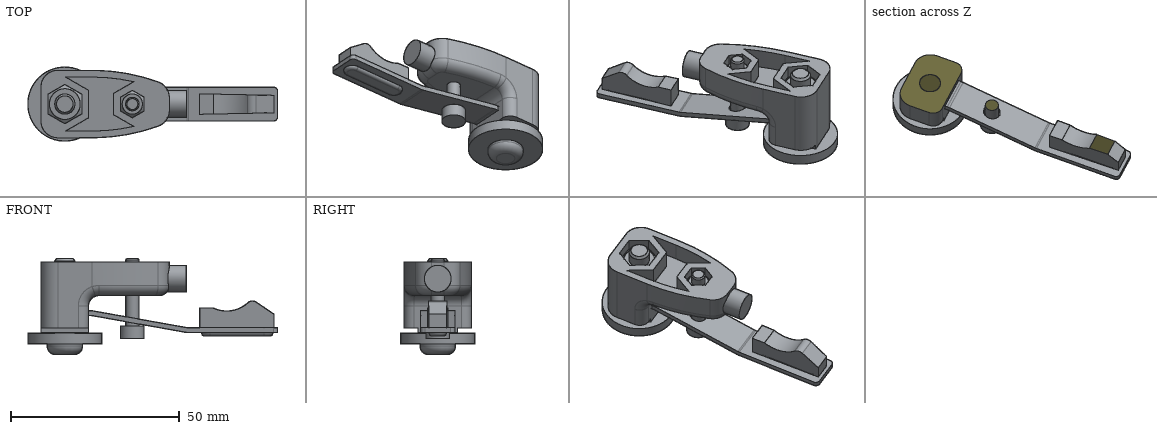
import cadquery as cq
import math


overall_length = 74.0

housing_half_width = 10.0
housing_back_x = -7.1
corner_radius = 5.0
taper_start_x = 8.1
taper_end_x = 27.6
taper_end_half_width = 6.6
nose_x = 30.9
nose_flat_half_width = 1.85
housing_bottom_z = 0.15
housing_top_z = 21.1
arm_bottom_z = 11.1
leg_front_x = 7.0
edge_fillet = 3.0
foot_half_width = 5.85
foot_height = 1.3

wall = 2.0
pocket_depth = 5.9

bolt_nut_sink = 2.95
screw_nut_sink = 2.3

hex_half_angle = math.radians(30)

washer_diameter = 22.0
washer_thickness = 3.2

bolt_diameter = 6.0
bolt_tip_diameter = 4.9
bolt_chamfer_height = 0.75
bolt_head_diameter = 10.5
bolt_head_height = 3.2
bolt_head_round = 2.5
bolt_nut_flats = 10.05
bolt_nut_height = 5.0
bolt_nut_crown_diameter = 9.1
bolt_nut_bevel_angle = 30

screw_x = 20.0
screw_diameter = 4.0
screw_tip_diameter = 3.25
screw_chamfer_height = 0.45
screw_head_diameter = 7.0
screw_head_top_z = 2.15
screw_head_height = 3.8
screw_nut_flats = 7.0
screw_nut_height = 3.2
screw_nut_crown_diameter = 6.0
screw_nut_bevel_angle = 45

stud_top_z = 22.1

cylinder_diameter = 7.9
cylinder_z = 16.1
cylinder_back_x = 25.9
cylinder_front_x = 35.95

spring_width = 10.05
spring_thickness = 1.5
spring_root_x = 4.0
spring_upper_bend_x = 8.15
spring_lower_bend_x = 36.3
spring_end_x = overall_length - washer_diameter / 2
spring_root_z = 6.65
spring_end_z = housing_bottom_z + spring_thickness
spring_corner_radius = 1.25
spring_bend_radius = 2.5
spring_hole_diameter = 4.9

pad_back_x = 39.9
pad_front_x = 61.9
pad_back_width = 6.1
pad_front_width = 5.2
pad_back_z = 7.5
pad_saddle_start_x = 43.95
pad_saddle_low = (47.95, 6.6)
pad_saddle_end = (54.0, 8.9)
pad_crest = (55.35, 9.55)
pad_crest_end = (56.6, 9.25)
pad_front_z = 5.6
plug_back_x = 40.5
plug_front_x = 61.55
plug_width = 5.1
plug_bottom_z = -0.9
plug_round = 0.95


def cylinder_z_axis(x, diameter, bottom_z, top_z):
    """Upright cylinder at (x, 0) between two heights."""
    return cq.Workplane("XY", origin=(x, 0, bottom_z)).circle(diameter / 2).extrude(top_z - bottom_z)


def hexagon(x, flats, bottom_z, top_z):
    """Upright hexagonal prism at (x, 0) with two flats facing -X and +X."""
    corner_diameter = flats / math.cos(hex_half_angle)
    return (
        cq.Workplane("XY", origin=(x, 0, bottom_z))
        .transformed(rotate=(0, 0, math.degrees(hex_half_angle)))
        .polygon(6, corner_diameter)
        .extrude(top_z - bottom_z)
    )


def outline_at(z):
    """Closed plan outline of the housing on a plane at height z: one half, mirrored about X."""
    run = taper_end_x - taper_start_x
    drop = housing_half_width - taper_end_half_width
    taper_radius = (run**2 + drop**2) / (2 * drop)
    mid_x = taper_start_x + run / 2
    mid_y = housing_half_width - taper_radius + math.sqrt(taper_radius**2 - (run / 2) ** 2)
    return (
        cq.Workplane("XY", origin=(0, 0, z))
        .moveTo(housing_back_x, 0)
        .lineTo(housing_back_x, housing_half_width - corner_radius)
        .tangentArcPoint((housing_back_x + corner_radius, housing_half_width), relative=False)
        .lineTo(taper_start_x, housing_half_width)
        .threePointArc((mid_x, mid_y), (taper_end_x, taper_end_half_width))
        .tangentArcPoint((nose_x, nose_flat_half_width), relative=False)
        .lineTo(nose_x, 0)
        .mirrorX()
    )


def make_washer():
    """Round foot disc with a bore for the pivot bolt."""
    disc = cylinder_z_axis(0, washer_diameter, -washer_thickness, 0)
    return disc.cut(cylinder_z_axis(0, bolt_diameter, -washer_thickness, 0))


def make_bolt():
    """Pivot bolt: round-edged head below the washer and a chamfered tip."""
    head = cylinder_z_axis(
        0, bolt_head_diameter, -washer_thickness - bolt_head_height, -washer_thickness
    )
    head = head.faces("<Z").edges().fillet(bolt_head_round)
    shank = cylinder_z_axis(0, bolt_diameter, -washer_thickness, stud_top_z)
    tip_inset = (bolt_diameter - bolt_tip_diameter) / 2
    shank = shank.faces(">Z").edges().chamfer(bolt_chamfer_height, tip_inset)
    return head.union(shank)


def make_screw():
    """Adjusting screw: cylindrical head under the spring and a chamfered tip."""
    head = cylinder_z_axis(
        screw_x, screw_head_diameter, screw_head_top_z - screw_head_height, screw_head_top_z
    )
    shank = cylinder_z_axis(screw_x, screw_diameter, screw_head_top_z, stud_top_z)
    tip_inset = (screw_diameter - screw_tip_diameter) / 2
    shank = shank.faces(">Z").edges().chamfer(screw_chamfer_height, tip_inset)
    return head.union(shank)


def make_nut(x, flats, bottom_z, top_z, crown_diameter, bevel_angle, bore_diameter):
    """Hexagon nut with a bevelled top and a plain bore."""
    slope = math.tan(math.radians(bevel_angle))
    crown_radius = crown_diameter / 2
    outer_radius = flats
    cone = (
        cq.Workplane("XZ")
        .moveTo(0, bottom_z - outer_radius)
        .lineTo(outer_radius, bottom_z - outer_radius)
        .lineTo(outer_radius, top_z - (outer_radius - crown_radius) * slope)
        .lineTo(crown_radius, top_z)
        .lineTo(0, top_z)
        .close()
        .revolve(360, (0, 0, 0), (0, 1, 0))
        .translate((x, 0, 0))
    )
    nut = hexagon(x, flats, bottom_z, top_z).intersect(cone)
    return nut.cut(cylinder_z_axis(x, bore_diameter, bottom_z, top_z))


def make_cylinder():
    """Plain cylinder pushed into the nose of the housing."""
    return (
        cq.Workplane("YZ", origin=(cylinder_back_x, 0, cylinder_z))
        .circle(cylinder_diameter / 2)
        .extrude(cylinder_front_x - cylinder_back_x)
    )


def plug_shape(top_z):
    """Round-ended plug of the pad, from its underside up to top_z."""
    return (
        cq.Workplane("XY", origin=((plug_back_x + plug_front_x) / 2, 0, plug_bottom_z))
        .slot2D(plug_front_x - plug_back_x, plug_width)
        .extrude(top_z - plug_bottom_z)
        .faces("<Z")
        .edges()
        .fillet(plug_round)
    )


def make_spring_strip():
    """Leaf spring strip bent twice, still without openings."""
    bend_angle = math.atan((spring_root_z - spring_end_z) / (spring_lower_bend_x - spring_upper_bend_x))
    bend_shift = spring_thickness * math.tan(bend_angle / 2)
    strip = (
        cq.Workplane("XZ", origin=(0, spring_width / 2, 0))
        .moveTo(spring_root_x, spring_root_z)
        .lineTo(spring_upper_bend_x, spring_root_z)
        .lineTo(spring_lower_bend_x, spring_end_z)
        .lineTo(spring_end_x, spring_end_z)
        .lineTo(spring_end_x, spring_end_z - spring_thickness)
        .lineTo(spring_lower_bend_x - bend_shift, spring_end_z - spring_thickness)
        .lineTo(spring_upper_bend_x - bend_shift, spring_root_z - spring_thickness)
        .lineTo(spring_root_x, spring_root_z - spring_thickness)
        .close()
        .extrude(spring_width)
    )
    top_bends = [(spring_upper_bend_x, spring_root_z), (spring_lower_bend_x, spring_end_z)]
    outer_radius = spring_bend_radius + spring_thickness
    for (x, z), upper_radius, lower_radius in zip(
        top_bends, (outer_radius, spring_bend_radius), (spring_bend_radius, outer_radius)
    ):
        strip = strip.edges(cq.NearestToPointSelector((x, 0, z))).fillet(upper_radius)
        bottom_point = (x - bend_shift, 0, z - spring_thickness)
        strip = strip.edges(cq.NearestToPointSelector(bottom_point)).fillet(lower_radius)
    return strip.faces(">X").edges("|Z").fillet(spring_corner_radius)


def make_pad():
    """Saddle-topped pad that narrows toward the front, with its plug through the spring."""
    length = pad_front_x - pad_back_x
    profile = (
        cq.Workplane("XZ", origin=(0, pad_back_width / 2, 0))
        .moveTo(pad_back_x, spring_end_z)
        .lineTo(pad_back_x, pad_back_z)
        .lineTo(pad_saddle_start_x, pad_back_z)
        .threePointArc(pad_saddle_low, pad_saddle_end)
        .threePointArc(pad_crest, pad_crest_end)
        .lineTo(pad_front_x, pad_front_z)
        .lineTo(pad_front_x, spring_end_z)
        .close()
        .extrude(pad_back_width)
    )
    plan = (
        cq.Workplane("XY", origin=(pad_back_x, 0, spring_end_z))
        .moveTo(0, -pad_back_width / 2)
        .lineTo(length, -pad_front_width / 2)
        .lineTo(length, pad_front_width / 2)
        .lineTo(0, pad_back_width / 2)
        .close()
        .extrude(pad_crest[1])
    )
    return profile.intersect(plan).union(plug_shape(spring_end_z))


def make_housing_blank():
    """Leg and arm of the housing, rounded along the inside of the leg and under the arm."""
    blank = outline_at(housing_bottom_z).extrude(housing_top_z - housing_bottom_z)
    under_arm = (
        cq.Workplane("XY", origin=(leg_front_x, 0, housing_bottom_z))
        .box(
            nose_x,
            2 * housing_half_width,
            arm_bottom_z - housing_bottom_z,
            centered=(False, True, False),
        )
        .edges("<X and >Z")
        .fillet(edge_fillet)
    )
    blank = blank.cut(under_arm)
    leg_middle_z = (housing_bottom_z + arm_bottom_z - edge_fillet) / 2
    near_edge = cq.NearestToPointSelector((leg_front_x, -housing_half_width, leg_middle_z))
    far_edge = cq.NearestToPointSelector((leg_front_x, housing_half_width, leg_middle_z))
    blank = blank.edges(near_edge + far_edge).fillet(edge_fillet)
    foot_gap = housing_half_width - foot_half_width
    for side in (-1, 1):
        step = cq.Workplane("XY").box(
            2 * nose_x, foot_gap, foot_height, centered=(True, True, False)
        )
        blank = blank.cut(
            step.translate((0, side * (foot_half_width + foot_gap / 2), housing_bottom_z))
        )
    return blank


def make_pocket():
    """Pocket between the outer wall and the hexagonal walls around the two nuts."""
    slope = math.tan(hex_half_angle)
    bolt_wall_x = bolt_nut_flats / 2 + wall
    screw_wall_x = screw_x - screw_nut_flats / 2 - wall
    bolt_corner_y = bolt_wall_x * slope
    screw_corner_y = (screw_x - screw_wall_x) * slope
    bolt_end_x = bolt_wall_x - (housing_half_width - bolt_corner_y) / slope
    screw_end_x = screw_wall_x + (housing_half_width - screw_corner_y) / slope
    bottom_z = housing_top_z - pocket_depth
    between_nuts = (
        cq.Workplane("XY", origin=(0, 0, bottom_z))
        .moveTo(bolt_wall_x, 0)
        .lineTo(bolt_wall_x, bolt_corner_y)
        .lineTo(bolt_end_x, housing_half_width)
        .lineTo(screw_end_x, housing_half_width)
        .lineTo(screw_wall_x, screw_corner_y)
        .lineTo(screw_wall_x, 0)
        .mirrorX()
        .extrude(pocket_depth)
    )
    return outline_at(bottom_z).offset2D(-wall).extrude(pocket_depth).intersect(between_nuts)


pad = make_pad()
spring = make_spring_strip().cut(pad)
spring = spring.cut(cylinder_z_axis(screw_x, spring_hole_diameter, 0, arm_bottom_z))

washer = make_washer()
bolt = make_bolt()
screw = make_screw()
bolt_nut_top_z = housing_top_z - bolt_nut_sink
bolt_nut_bottom_z = bolt_nut_top_z - bolt_nut_height
bolt_nut = make_nut(
    0,
    bolt_nut_flats,
    bolt_nut_bottom_z,
    bolt_nut_top_z,
    bolt_nut_crown_diameter,
    bolt_nut_bevel_angle,
    bolt_diameter,
)
screw_nut_top_z = housing_top_z - screw_nut_sink
screw_nut_bottom_z = screw_nut_top_z - screw_nut_height
screw_nut = make_nut(
    screw_x,
    screw_nut_flats,
    screw_nut_bottom_z,
    screw_nut_top_z,
    screw_nut_crown_diameter,
    screw_nut_bevel_angle,
    screw_diameter,
)
cylinder = make_cylinder()

housing = make_housing_blank().cut(make_pocket())
housing = housing.cut(hexagon(0, bolt_nut_flats, bolt_nut_bottom_z, housing_top_z))
housing = housing.cut(hexagon(screw_x, screw_nut_flats, screw_nut_bottom_z, housing_top_z))
housing = housing.cut(bolt).cut(screw).cut(cylinder).cut(spring)

result = cq.Compound.makeCompound(
    [
        housing.val(),
        washer.val(),
        bolt.val(),
        bolt_nut.val(),
        screw.val(),
        screw_nut.val(),
        cylinder.val(),
        spring.val(),
        pad.val(),
    ]
)